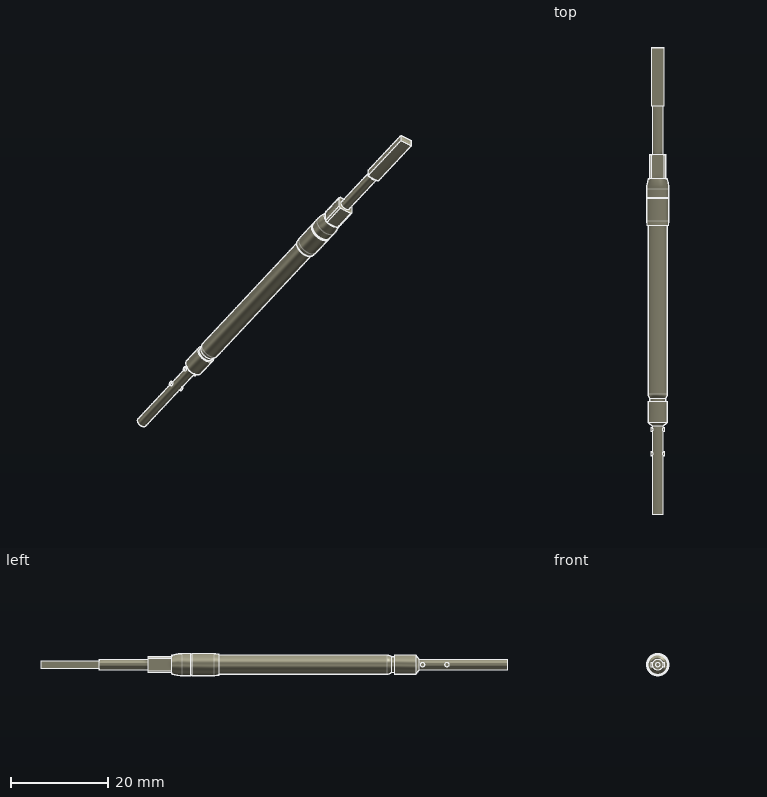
import math

import cadquery as cq

total_length = 96.0
blade_length = 12.0
square_start = 22.0
square_end = 26.9
shoulder_round_end = 29.0
collar_end = 36.6
body_round_start = 71.2
neck_start = 72.1
neck_end = 72.7
nose_end = 77.1
pin_start = 77.8

blade_width = 2.6
blade_thickness = 1.6
shank_diameter = 2.2
square_width = 3.3
square_corner_diameter = 4.2
shoulder_diameter = 3.9
collar_diameter = 4.6
body_diameter = 4.0
neck_diameter = 3.3
pin_diameter = 2.2

collar_groove_station = 30.9
collar_groove_width = 0.3
collar_groove_depth = 0.1
collar_edge_chamfer = 0.1
collar_edge_length = 1.0

tip_hole_diameter = 0.9
tip_hole_depth = 2.0

lug_span = 2.8
lug_diameter = 0.9
lug_stations = (78.5, 83.5)


def y_at(station):
    """Y coordinate of a station; the part is centred on the origin."""
    return total_length / 2 - station


def profile_point(station, diameter):
    """Half-section point at a station, at the given diameter."""
    return (diameter / 2, y_at(station))


def tangent_arc_middle(start, end):
    """Middle of the arc from start to end that runs parallel to Y at start."""
    length = end[1] - start[1]
    drop = start[0] - end[0]
    radius = (length**2 + drop**2) / (2 * drop)
    half_sweep = math.asin(length / radius) / 2
    return (start[0] - radius * (1 - math.cos(half_sweep)), start[1] + radius * math.sin(half_sweep))


def make_bar(width, height, start, end):
    """Rectangular bar along Y between two stations."""
    return cq.Workplane("XY").box(width, end - start, height).translate((0, y_at((start + end) / 2), 0))


def make_cylinder(diameter, start, end):
    """Cylinder along Y between two stations."""
    return cq.Workplane("XZ", origin=(0, y_at(start), 0)).circle(diameter / 2).extrude(end - start)


def make_turned_body():
    """Shank, collar, long body, neck, nose and pin, revolved about Y."""
    groove_diameter = collar_diameter - 2 * collar_groove_depth
    groove_start = collar_groove_station - collar_groove_width / 2
    groove_end = collar_groove_station + collar_groove_width / 2
    shoulder_edge = profile_point(square_end, shoulder_diameter)
    shoulder_tangent = profile_point(shoulder_round_end, collar_diameter)
    body_tangent = profile_point(body_round_start, body_diameter)
    body_edge = profile_point(neck_start, neck_diameter)
    return (
        cq.Workplane("XY")
        .moveTo(*profile_point(blade_length, 0))
        .lineTo(*profile_point(blade_length, shank_diameter))
        .lineTo(*profile_point(square_end, shank_diameter))
        .lineTo(*shoulder_edge)
        .threePointArc(tangent_arc_middle(shoulder_tangent, shoulder_edge), shoulder_tangent)
        .lineTo(*profile_point(groove_start, collar_diameter))
        .lineTo(*profile_point(groove_start, groove_diameter))
        .lineTo(*profile_point(groove_end, groove_diameter))
        .lineTo(*profile_point(groove_end, collar_diameter))
        .lineTo(*profile_point(collar_end - collar_edge_length, collar_diameter))
        .lineTo(*profile_point(collar_end, collar_diameter - 2 * collar_edge_chamfer))
        .lineTo(*profile_point(collar_end, body_diameter))
        .lineTo(*body_tangent)
        .threePointArc(tangent_arc_middle(body_tangent, body_edge), body_edge)
        .lineTo(*profile_point(neck_end, neck_diameter))
        .lineTo(*profile_point(neck_end, body_diameter))
        .lineTo(*profile_point(nose_end, body_diameter))
        .lineTo(*profile_point(pin_start, pin_diameter))
        .lineTo(*profile_point(total_length, pin_diameter))
        .lineTo(*profile_point(total_length, 0))
        .close()
        .revolve(360, (0, 0), (0, 1))
    )


def make_square_drive():
    """Square section whose corners are turned off to a cylinder."""
    square = make_bar(square_width, square_width, square_start, square_end)
    return square.intersect(make_cylinder(square_corner_diameter, square_start, square_end))


def make_lug(station):
    """Round lug through the pin along X, standing out on both sides."""
    return (
        cq.Workplane("YZ")
        .center(y_at(station), 0)
        .circle(lug_diameter / 2)
        .extrude(lug_span / 2, both=True)
    )


blade = make_bar(blade_width, blade_thickness, 0, blade_length)
result = make_turned_body().union(blade).union(make_square_drive())
for lug_station in lug_stations:
    result = result.union(make_lug(lug_station))
result = result.cut(make_cylinder(tip_hole_diameter, total_length - tip_hole_depth, total_length))